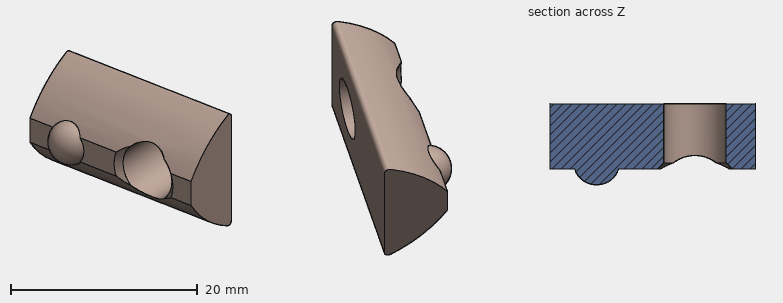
import cadquery as cq
import math

length = 22.0
height = 13.7
bar_depth = 7.0
nose_height = 2.97
flank_radius = 15.0
corner_radius = 0.5

overall_depth = 8.7
ball_radius = 2.5
ball_x = 5.0

hole_diameter = 6.65
countersink_diameter = 8.0
countersink_angle = 90.0
hole_x = 15.5


def flank_centre(nose_corner, corner_centre):
    """Centre of the flank arc: through the nose corner, tangent to the back corner round."""
    inner_radius = flank_radius - corner_radius
    dy = corner_centre[0] - nose_corner[0]
    dz = corner_centre[1] - nose_corner[1]
    span = math.hypot(dy, dz)
    along = (span**2 + flank_radius**2 - inner_radius**2) / (2 * span)
    across = math.sqrt(flank_radius**2 - along**2)
    return (
        nose_corner[0] + (along * dy + across * dz) / span,
        nose_corner[1] + (along * dz - across * dy) / span,
    )


def on_circle(centre, radius, angle):
    return (centre[0] + radius * math.cos(angle), centre[1] + radius * math.sin(angle))


def mirrored(point):
    return (point[0], -point[1])


def make_bar():
    nose = (-bar_depth, nose_height / 2)
    corner = (-corner_radius, height / 2 - corner_radius)
    centre = flank_centre(nose, corner)
    tangent_angle = math.atan2(corner[1] - centre[1], corner[0] - centre[0])
    nose_angle = math.atan2(nose[1] - centre[1], nose[0] - centre[0])

    flank_mid = on_circle(centre, flank_radius, (tangent_angle + nose_angle) / 2)
    tangent = on_circle(corner, corner_radius, tangent_angle)
    corner_mid = on_circle(corner, corner_radius, tangent_angle / 2)
    back = (0, corner[1])

    return (
        cq.Workplane("YZ")
        .moveTo(*nose)
        .threePointArc(flank_mid, tangent)
        .threePointArc(corner_mid, back)
        .lineTo(*mirrored(back))
        .threePointArc(mirrored(corner_mid), mirrored(tangent))
        .threePointArc(mirrored(flank_mid), mirrored(nose))
        .close()
        .extrude(length)
    )


def make_ball():
    return cq.Workplane("XY").sphere(ball_radius).translate((ball_x, ball_radius - overall_depth, 0))


def make_hole_cutter():
    """Countersunk hole revolved about the hole axis, which runs along Y."""
    hole_radius = hole_diameter / 2
    sink_radius = countersink_diameter / 2
    sink_depth = (sink_radius - hole_radius) / math.tan(math.radians(countersink_angle / 2))
    profile = [
        (0, 0),
        (hole_radius, 0),
        (hole_radius, sink_depth - bar_depth),
        (sink_radius, -bar_depth),
        (0, -bar_depth),
    ]
    cutter = cq.Workplane("XY").polyline(profile).close().revolve(360, (0, 0), (0, 1))
    return cutter.translate((hole_x, 0, 0))


result = make_bar().union(make_ball()).cut(make_hole_cutter())